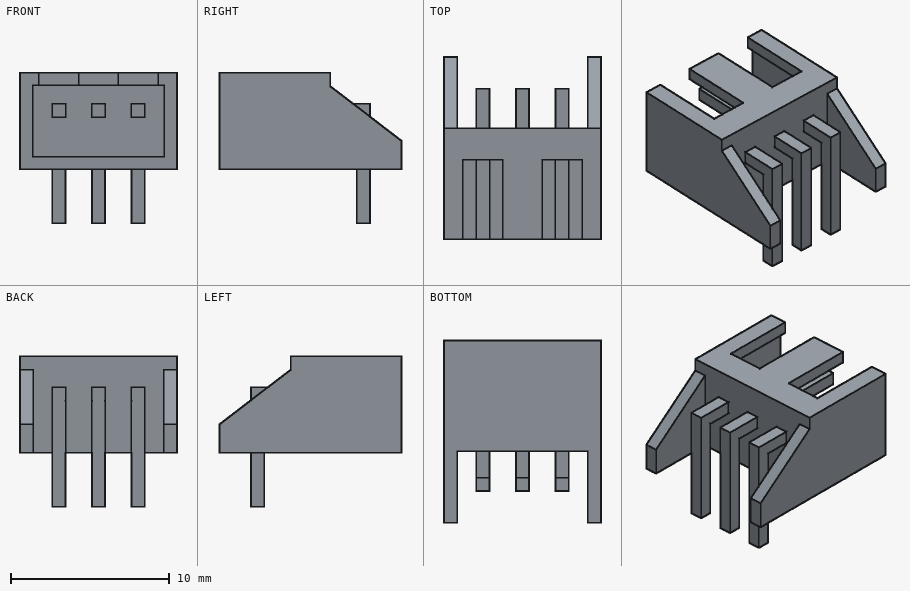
import cadquery as cq

housing_width = 9.9
housing_length = 7.0
housing_height = 6.1
wall = 0.8
cavity_depth = housing_length - wall

slot_width = 2.5
slot_length = 5.0

fin_thickness = 0.85
fin_length = 4.5
fin_step = 0.85
fin_root_height = housing_height - fin_step
fin_tip_height = 1.8

pin_count = 3
pin_pitch = 2.5
pin_size = 0.85
pin_top = 4.15
pin_tail_length = 3.4
pin_back = 2.5
pin_front = -housing_length

pin_positions = [(i - (pin_count - 1) / 2) * pin_pitch for i in range(pin_count)]


def box(width, y_start, y_end, z_start, z_end, x_center=0):
    """Box centred on x_center and spanning the given Y and Z ranges."""
    return (
        cq.Workplane("XY")
        .box(width, y_end - y_start, z_end - z_start, centered=(True, False, False))
        .translate((x_center, y_start, z_start))
    )


def make_fin(x_start):
    """Upright fin that slopes down towards the back, with its -X face at x_start."""
    profile = [(0, 0), (fin_length, 0), (fin_length, fin_tip_height), (0, fin_root_height)]
    return (
        cq.Workplane("YZ", origin=(x_start, 0, 0))
        .polyline(profile)
        .close()
        .extrude(fin_thickness)
    )


def make_pin(x_center):
    """Right-angle pin: a contact along Y and a tail down at the back."""
    pin_bottom = pin_top - pin_size
    tail_front = pin_back - pin_size
    profile = [
        (pin_front, pin_top),
        (pin_back, pin_top),
        (pin_back, -pin_tail_length),
        (tail_front, -pin_tail_length),
        (tail_front, pin_bottom),
        (pin_front, pin_bottom),
    ]
    return (
        cq.Workplane("YZ", origin=(x_center - pin_size / 2, 0, 0))
        .polyline(profile)
        .close()
        .extrude(pin_size)
    )


def make_housing(pins):
    """Open-front housing with slots, fins and a fitting hole for each pin."""
    front = -housing_length
    body = box(housing_width, front, 0, 0, housing_height)
    cavity_width = housing_width - 2 * wall
    body = body.cut(box(cavity_width, front, front + cavity_depth, wall, housing_height - wall))

    for x in (pin_positions[0], pin_positions[-1]):
        slot = box(slot_width, front, front + slot_length, housing_height - wall, housing_height, x)
        body = body.cut(slot)

    for x_start in (-housing_width / 2, housing_width / 2 - fin_thickness):
        body = body.union(make_fin(x_start))

    for pin in pins:
        body = body.cut(pin)
    return body


pins = [make_pin(x) for x in pin_positions]
housing = make_housing(pins)

result = cq.Compound.makeCompound([housing.val(), *[pin.val() for pin in pins]])